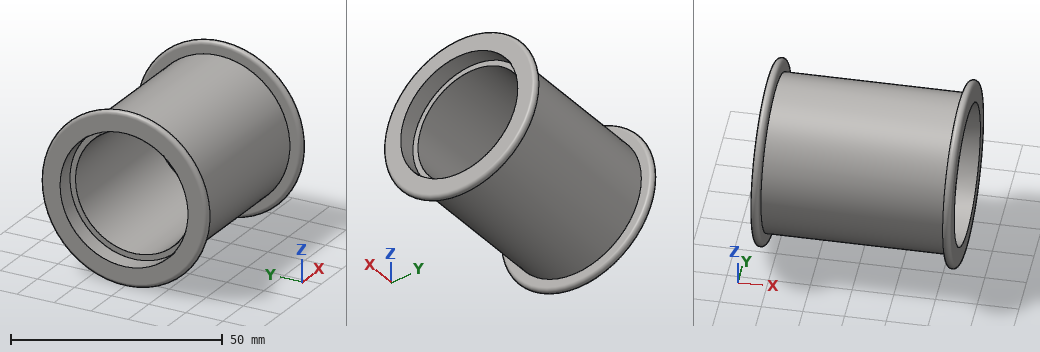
import cadquery as cq

length = 48.0
flange_diameter = 45.0
flange_thickness = 2.0
body_diameter = 38.5
bore_diameter = 31.5
seat_diameter = 34.5
seat_depth = 4.8

rim_radius = flange_thickness / 2


def cylinder(diameter, start_x, height):
    """Solid cylinder along +X, starting at start_x."""
    return cq.Workplane("YZ", origin=(start_x, 0, 0)).circle(diameter / 2).extrude(height)


def flange(start_x):
    """Disc whose rim is a full half-round."""
    disc_diameter = flange_diameter - 2 * rim_radius
    profile = (
        cq.Workplane("XY")
        .moveTo(start_x, 0)
        .lineTo(start_x, disc_diameter / 2)
        .threePointArc(
            (start_x + rim_radius, flange_diameter / 2),
            (start_x + flange_thickness, disc_diameter / 2),
        )
        .lineTo(start_x + flange_thickness, 0)
        .close()
    )
    return profile.revolve(360, (0, 0, 0), (1, 0, 0))


left_end = -length / 2
right_end = length / 2

sleeve = cylinder(body_diameter, left_end, length)
for flange_start in (left_end, right_end - flange_thickness):
    sleeve = sleeve.union(flange(flange_start))

sleeve = sleeve.cut(cylinder(bore_diameter, left_end, length))
for seat_start in (left_end, right_end - seat_depth):
    sleeve = sleeve.cut(cylinder(seat_diameter, seat_start, seat_depth))

result = sleeve